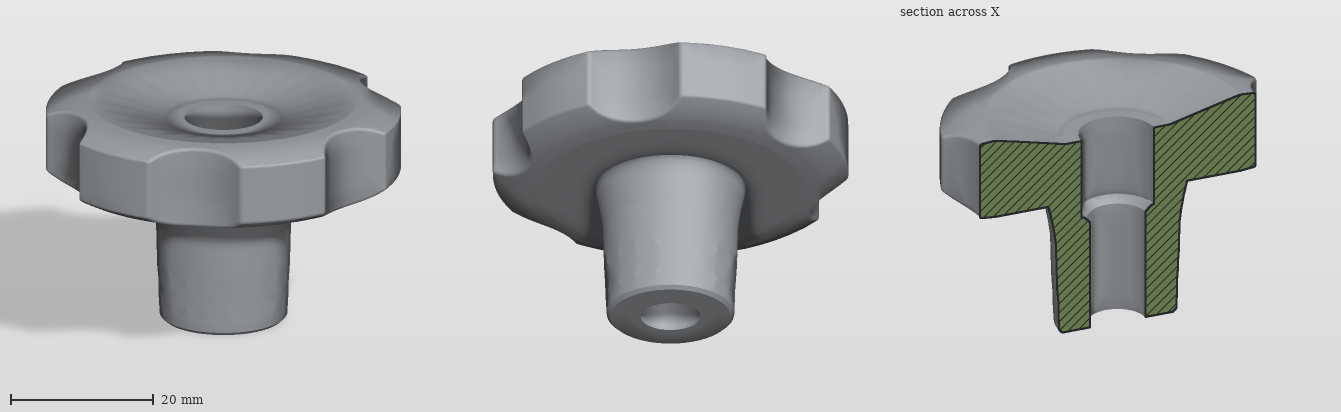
import cadquery as cq
import math

total_height = 32.0
head_radius = 24.95
head_thickness = 11.95
underside_z = total_height - head_thickness

crown_start_radius = 18.7
top_crown_radius = 13.7
bottom_crown_radius = 10.2

dish_depth = 2.6
dish_floor_z = total_height - dish_depth
dish_floor_radius = 8.0
dish_edge_fillet = 1.25
dish_floor_fillet = 1.5

hub_top_radius = 10.6
hub_flare_mid_radius = 9.9
hub_waist_radius = 9.45
hub_mid_radius = 9.25
hub_end_radius = 8.92
hub_waist_z = 13.95
hub_end_chamfer = 0.5

upper_bore_diameter = 11.0
lower_bore_diameter = 8.4
upper_bore_depth = 11.95
bore_chamfer = 1.0

scallop_count = 6
scallop_radius = 8.5
scallop_floor_distance = 21.05
corner_fillet = 0.75
outline_fillet = 0.45

tolerance = 0.005


def crown_offset(arc_radius, fraction=1.0):
    """Radial run and axial drop of a crown arc at a fraction of its sweep."""
    sweep = math.asin((head_radius - crown_start_radius) / arc_radius)
    angle = fraction * sweep
    return arc_radius * math.sin(angle), arc_radius * (1 - math.cos(angle))


def crown_point(arc_radius, face_z, inward, fraction=1.0):
    """Point on a crown; inward is the axial direction from its face into the head."""
    run, drop = crown_offset(arc_radius, fraction)
    return crown_start_radius + run, face_z + inward * drop


class CircleSelector(cq.Selector):
    """Picks the circular edges about the Z axis with a given radius and height."""

    def __init__(self, radius, height):
        self.radius = radius
        self.height = height

    def filter(self, edges):
        return [edge for edge in edges if self.matches(edge)]

    def matches(self, edge):
        if edge.geomType() != "CIRCLE":
            return False
        start = edge.startPoint()
        same_radius = abs(math.hypot(start.x, start.y) - self.radius) < tolerance
        return same_radius and abs(start.z - self.height) < tolerance


class RimSelector(cq.Selector):
    """Picks the edges lying wholly at or beyond the scallop floors."""

    def filter(self, edges):
        return [edge for edge in edges if self.matches(edge)]

    def matches(self, edge):
        points = [edge.startPoint(), edge.positionAt(0.5), edge.endPoint()]
        return all(math.hypot(point.x, point.y) > scallop_floor_distance - tolerance for point in points)


def make_head():
    bottom_mid = crown_point(bottom_crown_radius, underside_z, 1, 0.5)
    bottom_rim = crown_point(bottom_crown_radius, underside_z, 1)
    top_mid = crown_point(top_crown_radius, total_height, -1, 0.5)
    top_rim = crown_point(top_crown_radius, total_height, -1)
    head = (
        cq.Workplane("XZ")
        .moveTo(0, underside_z)
        .lineTo(crown_start_radius, underside_z)
        .threePointArc(bottom_mid, bottom_rim)
        .lineTo(*top_rim)
        .threePointArc(top_mid, (crown_start_radius, total_height))
        .lineTo(dish_floor_radius, dish_floor_z)
        .lineTo(0, dish_floor_z)
        .close()
        .revolve(360, (0, 0, 0), (0, 1, 0))
    )
    head = head.edges(CircleSelector(crown_start_radius, total_height)).fillet(dish_edge_fillet)
    head = head.edges(CircleSelector(dish_floor_radius, dish_floor_z)).fillet(dish_floor_fillet)
    scallops = (
        cq.Workplane("XY")
        .workplane(offset=underside_z)
        .polarArray(scallop_floor_distance + scallop_radius, 90, 360, scallop_count)
        .circle(scallop_radius)
        .extrude(head_thickness)
    )
    head = head.cut(scallops)
    head = head.edges("|Z").edges(RimSelector()).fillet(corner_fillet)
    return head.edges("not |Z").edges(RimSelector()).fillet(outline_fillet)


def make_hub():
    flare_mid_z = (underside_z + hub_waist_z) / 2
    return (
        cq.Workplane("XZ")
        .lineTo(hub_end_radius, 0)
        .threePointArc((hub_mid_radius, hub_waist_z / 2), (hub_waist_radius, hub_waist_z))
        .threePointArc((hub_flare_mid_radius, flare_mid_z), (hub_top_radius, underside_z))
        .lineTo(0, underside_z)
        .close()
        .revolve(360, (0, 0, 0), (0, 1, 0))
        .faces("<Z")
        .edges()
        .chamfer(hub_end_chamfer)
    )


def make_bore():
    """Tool body: wide upper bore, chamfered step, narrow through bore."""
    upper_radius = upper_bore_diameter / 2
    lower_radius = lower_bore_diameter / 2
    step_z = dish_floor_z - upper_bore_depth
    return (
        cq.Workplane("XZ")
        .lineTo(lower_radius, 0)
        .lineTo(lower_radius, step_z - bore_chamfer)
        .lineTo(lower_radius + bore_chamfer, step_z)
        .lineTo(upper_radius, step_z)
        .lineTo(upper_radius, total_height)
        .lineTo(0, total_height)
        .close()
        .revolve(360, (0, 0, 0), (0, 1, 0))
    )


result = make_head().union(make_hub()).cut(make_bore())